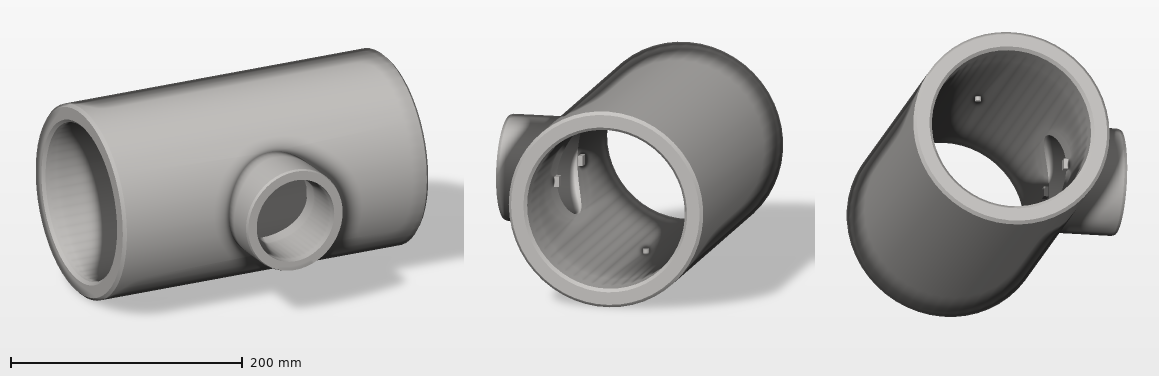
import cadquery as cq

pipe_length = 295.0
pipe_diameter = 173.0
bore_diameter = 140.0
pipe_radius = pipe_diameter / 2
bore_radius = bore_diameter / 2
edge_chamfer = 2.7

total_width = 208.5
branch_reach = total_width - pipe_radius
branch_diameter = 93.0
branch_bore_diameter = 75.0
branch_edge_length = 2.7
branch_edge_depth = 1.0

stop_tip_radius = 65.8
stop_embed = 3.0
pin_diameter = 5.3
block_size = 8.8
block_wall_gap = 1.5
stop_length = bore_radius + stop_embed - stop_tip_radius


def main_pipe():
    """Outer body of the pipe with its end edges chamfered."""
    body = cq.Workplane("XZ").circle(pipe_radius).extrude(pipe_length / 2, both=True)
    return body.faces("<Y or >Y").chamfer(edge_chamfer)


def main_bore():
    """Through bore, flared by a chamfer at both ends."""
    half_length = pipe_length / 2
    mouth_radius = bore_radius + edge_chamfer
    profile = [
        (0, -half_length),
        (mouth_radius, -half_length),
        (bore_radius, -half_length + edge_chamfer),
        (bore_radius, half_length - edge_chamfer),
        (mouth_radius, half_length),
        (0, half_length),
    ]
    return cq.Workplane("XY").polyline(profile).close().revolve(360, (0, 0), (0, 1))


def branch():
    """Branch stub starting at the pipe axis, with a slim bevel on its outer end."""
    stub = cq.Workplane("YZ").circle(branch_diameter / 2).extrude(branch_reach)
    return stub.faces(">X").edges().chamfer(branch_edge_length, branch_edge_depth)


def branch_bore():
    return cq.Workplane("YZ").circle(branch_bore_diameter / 2).extrude(branch_reach)


def stop_pin(angle):
    """Round radial pin at mid-length, turned about the pipe axis from +X."""
    pin = cq.Workplane("YZ", origin=(stop_tip_radius, 0, 0)).circle(pin_diameter / 2).extrude(stop_length)
    return pin.rotate((0, 0, 0), (0, 1, 0), angle)


def stop_block(side):
    """Square radial block beside the branch opening, on the +Y or -Y side."""
    offset = branch_bore_diameter / 2 + block_wall_gap + block_size / 2
    plane = cq.Workplane("YZ", origin=(stop_tip_radius, side * offset, 0))
    return plane.rect(block_size, block_size).extrude(stop_length)


result = main_pipe().union(branch()).cut(main_bore()).cut(branch_bore())
for pin_angle in (90, 180, 270):
    result = result.union(stop_pin(pin_angle))
for block_side in (-1, 1):
    result = result.union(stop_block(block_side))